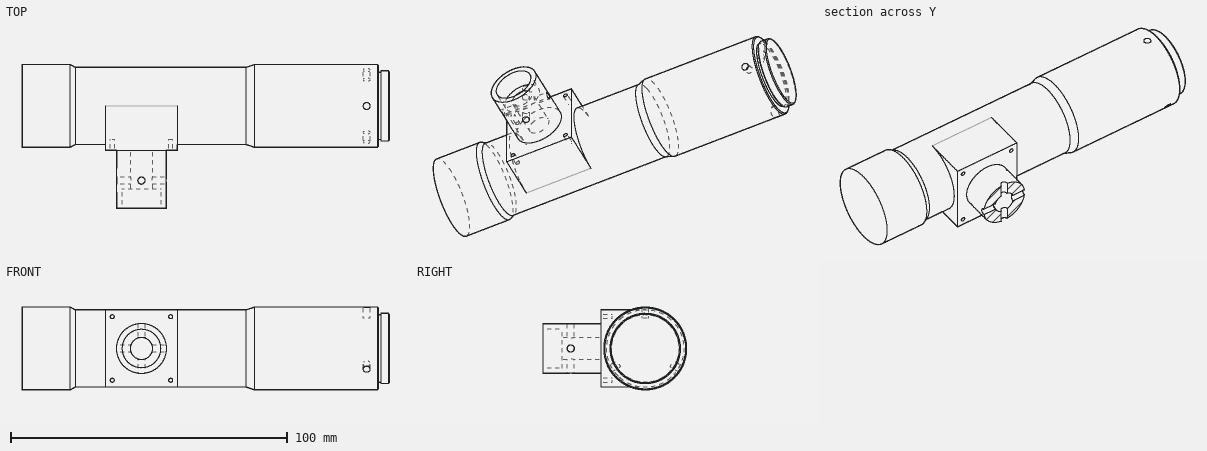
import cadquery as cq
import math

total_length = 132.8
sleeve_radius = 15.0
tube_diameter = 28.0
tube_radius = tube_diameter / 2
left_sleeve_end = 17.4
left_taper_end = 19.3
right_taper_start = 81.0
right_taper_end = 84.0
right_sleeve_end = 128.8
sleeve_edge_chamfer = 0.4

flange_radius = 12.7
neck_radius = 12.2
flange_start = 129.7
flange_edge_chamfer = 0.4

set_screw_count = 3
set_screw_x = 124.5
set_screw_diameter = 2.5
set_screw_depth = 4.0

block_center_x = 43.2
block_width = 26.0
block_height = tube_diameter
block_depth = 16.1

corner_spacing_x = 21.1
corner_spacing_z = 23.0
corner_hole_diameter = 1.5
corner_hole_depth = 4.0

side_tube_reach = 37.0
side_tube_diameter = 18.0
bore_diameter = 14.0
bore_depth = 7.0
inner_bore_diameter = 8.0
cross_hole_reach = 27.0
cross_hole_diameter = 2.5

def make_barrel():
    """Stepped barrel with tapered shoulders and a flange on the right end."""
    profile = [
        (0, 0),
        (0, sleeve_radius),
        (left_sleeve_end, sleeve_radius),
        (left_taper_end, tube_radius),
        (right_taper_start, tube_radius),
        (right_taper_end, sleeve_radius),
        (right_sleeve_end - sleeve_edge_chamfer, sleeve_radius),
        (right_sleeve_end, sleeve_radius - sleeve_edge_chamfer),
        (right_sleeve_end, neck_radius),
        (flange_start, neck_radius),
        (flange_start, flange_radius),
        (total_length - flange_edge_chamfer, flange_radius),
        (total_length, flange_radius - flange_edge_chamfer),
        (total_length, 0),
    ]
    return cq.Workplane("XY").polyline(profile).close().revolve(360, (0, 0, 0), (1, 0, 0))

def make_block():
    """Rectangular block whose back face lies on the barrel axis."""
    block = cq.Workplane("XY").box(block_width, block_depth, block_height)
    return block.translate((block_center_x, -block_depth / 2, 0))

def side_cylinder(diameter, start, end):
    """Cylinder on the side tube axis, between two distances from the barrel axis."""
    plane = cq.Workplane("XZ", origin=(block_center_x, -start, 0))
    return plane.circle(diameter / 2).extrude(end - start)

def make_stepped_bore():
    bore_floor = side_tube_reach - bore_depth
    bore = side_cylinder(bore_diameter, bore_floor, side_tube_reach)
    return bore.union(side_cylinder(inner_bore_diameter, block_depth, bore_floor))

def make_cross_holes():
    """Two crossing through holes in the side tube, along Z and along X."""
    center = cq.Vector(block_center_x, -cross_hole_reach, 0)
    holes = cq.Workplane("XY")
    for direction in (cq.Vector(0, 0, 1), cq.Vector(1, 0, 0)):
        start = center - direction * side_tube_diameter
        drill = cq.Solid.makeCylinder(cross_hole_diameter / 2, 2 * side_tube_diameter, start, direction)
        holes = holes.add(drill)
    return holes.combine()

def make_corner_holes():
    face = cq.Workplane("XZ", origin=(block_center_x, -block_depth, 0))
    corners = face.rect(corner_spacing_x, corner_spacing_z, forConstruction=True).vertices()
    return corners.circle(corner_hole_diameter / 2).extrude(-corner_hole_depth)

def make_set_screw_holes():
    """Blind radial holes spread evenly around the barrel, the first at the top."""
    holes = cq.Workplane("XY")
    for index in range(set_screw_count):
        angle = 2 * math.pi * index / set_screw_count
        outward = cq.Vector(0, math.sin(angle), math.cos(angle))
        floor_center = cq.Vector(set_screw_x, 0, 0) + outward * (sleeve_radius - set_screw_depth)
        drill = cq.Solid.makeCylinder(set_screw_diameter / 2, 2 * set_screw_depth, floor_center, outward)
        holes = holes.add(drill)
    return holes.combine()

side_tube = side_cylinder(side_tube_diameter, 0, side_tube_reach)
result = make_barrel().union(make_block()).union(side_tube)
result = result.cut(make_stepped_bore()).cut(make_cross_holes())
result = result.cut(make_corner_holes()).cut(make_set_screw_holes())